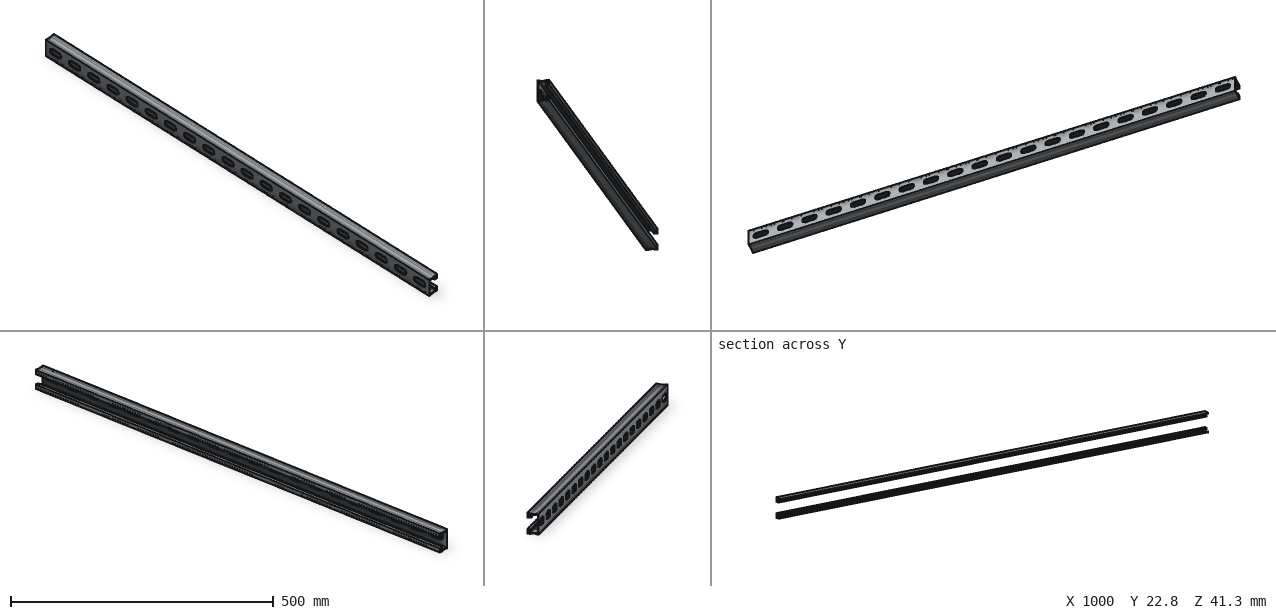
import cadquery as cq

length = 1000.0
depth = 22.79
width = 41.3

thickness = 2.5
lip_width = 9.5
lip_depth = 7.0
groove_depth = 0.8
groove_start = 5.65
groove_end = 19.1
groove_ramp = 2.5

slot_length = 30.0
slot_width = 13.5
slot_pitch = 50.0
slot_count = int(length / slot_pitch)

y_back = -depth / 2
y_open = depth / 2
z_outside = width / 2
z_inside = z_outside - thickness
z_lip_end = z_outside - lip_width


def add_grooved_face(outline, z_face, toward_lip):
    """Extend the outline along one face of the flange, dipping through the groove."""
    z_floor = z_face - groove_depth
    y_far = y_open - groove_end
    y_near = y_open - groove_start
    points = [
        (y_far, z_face),
        (y_far + groove_ramp, z_floor),
        (y_near - groove_ramp, z_floor),
        (y_near, z_face),
    ]
    heading = (1, 0)
    if not toward_lip:
        points.reverse()
        heading = (-1, 0)
    enter, floor_start, floor_finish, leave = points
    level_ends = [heading, heading]
    return (
        outline.lineTo(*enter)
        .spline([floor_start], tangents=level_ends, includeCurrent=True)
        .lineTo(*floor_finish)
        .spline([leave], tangents=level_ends, includeCurrent=True)
    )


def add_lip(outline):
    """Extend the outline around the lip, from the outside of the flange to its inside."""
    y_tip = y_open - lip_depth
    y_inner = y_open - thickness
    z_lip_inner = z_lip_end + thickness
    return (
        outline.lineTo(y_open, z_outside)
        .lineTo(y_open, z_lip_end)
        .lineTo(y_tip, z_lip_end)
        .lineTo(y_tip, z_lip_inner)
        .lineTo(y_inner, z_lip_inner)
        .lineTo(y_inner, z_inside)
    )


def make_channel():
    """Upper half of the channel, mirrored across the middle of the web."""
    y_web_inner = y_back + thickness
    outline = cq.Workplane("YZ", origin=(-length / 2, 0, 0))
    outline = outline.moveTo(y_back, 0).lineTo(y_back, z_outside)
    outline = add_grooved_face(outline, z_outside, toward_lip=True)
    outline = add_lip(outline)
    outline = add_grooved_face(outline, z_inside, toward_lip=False)
    outline = outline.lineTo(y_web_inner, z_inside).lineTo(y_web_inner, 0).close()
    half = outline.extrude(length)
    return half.union(half.mirror("XY"))


def make_slots():
    """Evenly spaced slots, each reaching through the web."""
    return (
        cq.Workplane("XZ", origin=(0, y_back + thickness, 0))
        .rarray(slot_pitch, 1, slot_count, 1)
        .slot2D(slot_length, slot_width)
        .extrude(thickness)
    )


result = make_channel().cut(make_slots())